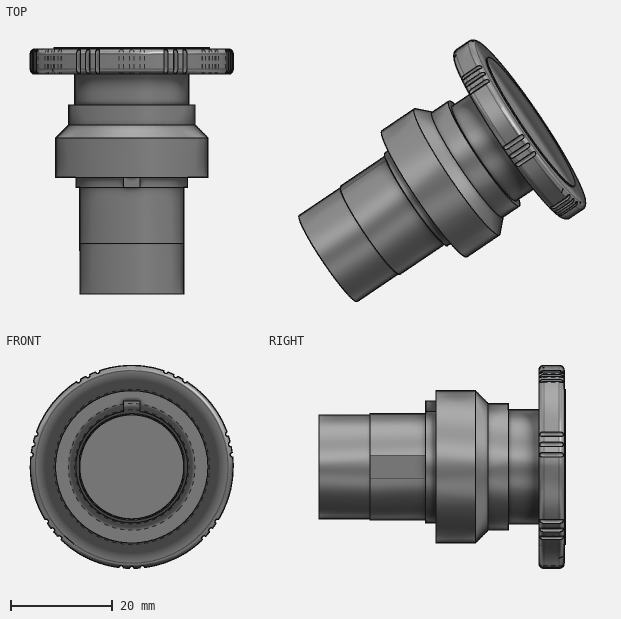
import cadquery as cq


TOTAL_LENGTH = 48.55

TIP_LENGTH = 10.0
BARREL_LENGTH = 11.0
RING_LENGTH = 2.0
COLLAR_LENGTH = 7.75
SHOULDER_LENGTH = 4.0
NECK_LENGTH = 6.0
WHEEL_LENGTH = 5.0

TIP_RADIUS = 10.25
BARREL_RADIUS = 10.5
RING_RADIUS = 11.0
COLLAR_RADIUS = 15.0
SHOULDER_RADIUS = 12.5
NECK_RADIUS = 11.25
WHEEL_RADIUS = 20.0
PAD_RADIUS = 15.3

KEY_WIDTH = 3.15
KEY_TOP = 13.0

WHEEL_FILLET = 1.0
GROOVE_RADIUS = 0.45
GROOVE_GROUPS = 7
GROOVES_PER_GROUP = 3
GROOVE_PITCH_ANGLE = 6.0
FIRST_GROUP_ANGLE = -90.0

BARREL_FRONT = -(RING_LENGTH + BARREL_LENGTH)
TIP_FRONT = BARREL_FRONT - TIP_LENGTH
CONE_LENGTH = COLLAR_RADIUS - SHOULDER_RADIUS
SHOULDER_FRONT = COLLAR_LENGTH + CONE_LENGTH
NECK_FRONT = SHOULDER_FRONT + SHOULDER_LENGTH
WHEEL_FRONT = NECK_FRONT + NECK_LENGTH
WHEEL_BACK = WHEEL_FRONT + WHEEL_LENGTH
PAD_LENGTH = TIP_FRONT + TOTAL_LENGTH - WHEEL_BACK


def section_at(y):
    """Workplane across the axis at y, with local X = X, local Y = Z; positive extrusion is -Y."""
    return cq.Workplane("XZ", origin=(0, y, 0))


def cylinder(front, length, radius):
    return section_at(front).circle(radius).extrude(-length)


def make_barrel():
    """Cylinder with a flat on each X side, level with the tip surface."""
    barrel = cylinder(BARREL_FRONT, BARREL_LENGTH, BARREL_RADIUS)
    flats = section_at(BARREL_FRONT).rect(2 * TIP_RADIUS, 2 * BARREL_RADIUS).extrude(-BARREL_LENGTH)
    return barrel.intersect(flats)


def make_ring_with_key():
    ring = cylinder(-RING_LENGTH, RING_LENGTH, RING_RADIUS)
    key = (
        section_at(-RING_LENGTH)
        .center(0, KEY_TOP / 2)
        .rect(KEY_WIDTH, KEY_TOP)
        .extrude(-RING_LENGTH)
    )
    return ring.union(key)


def make_collar():
    """Collar, its cone, the shoulder and the neck, turned as one profile."""
    profile = [
        (0, 0),
        (COLLAR_RADIUS, 0),
        (COLLAR_RADIUS, COLLAR_LENGTH),
        (SHOULDER_RADIUS, SHOULDER_FRONT),
        (SHOULDER_RADIUS, NECK_FRONT),
        (NECK_RADIUS, NECK_FRONT),
        (NECK_RADIUS, WHEEL_FRONT),
        (0, WHEEL_FRONT),
    ]
    return cq.Workplane("XY").polyline(profile).close().revolve(360, (0, 0, 0), (0, 1, 0))


def make_wheel():
    """Rounded wheel with groups of round grip grooves along its rim and a low pad on its back."""
    wheel = cylinder(WHEEL_FRONT, WHEEL_LENGTH, WHEEL_RADIUS).edges().fillet(WHEEL_FILLET)
    group_span = (GROOVES_PER_GROUP - 1) * GROOVE_PITCH_ANGLE
    for group in range(GROOVE_GROUPS):
        group_angle = FIRST_GROUP_ANGLE + group * 360 / GROOVE_GROUPS
        grooves = (
            section_at(WHEEL_FRONT)
            .polarArray(
                WHEEL_RADIUS, group_angle - group_span / 2, group_span, GROOVES_PER_GROUP
            )
            .circle(GROOVE_RADIUS)
            .extrude(-WHEEL_LENGTH)
        )
        wheel = wheel.cut(grooves)
    return wheel.union(cylinder(WHEEL_BACK, PAD_LENGTH, PAD_RADIUS))


result = (
    cylinder(TIP_FRONT, TIP_LENGTH, TIP_RADIUS)
    .union(make_barrel())
    .union(make_ring_with_key())
    .union(make_collar())
    .union(make_wheel())
)